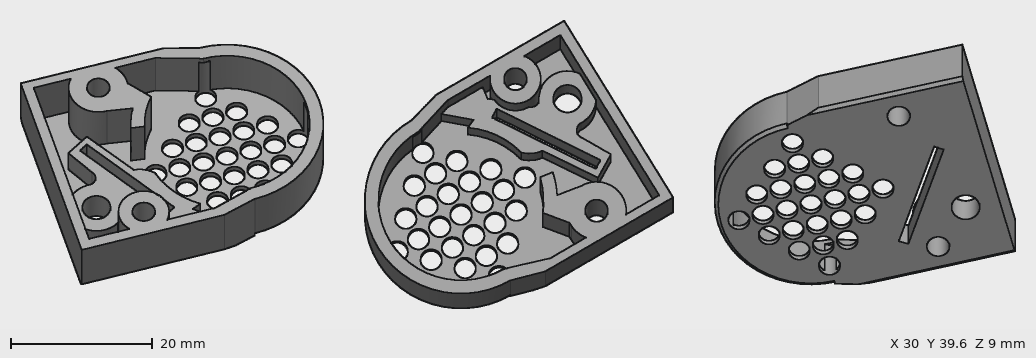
import cadquery as cq
import math

WIDTH = 30.0
LENGTH = 39.55
HEIGHT = 9.0
FLOOR = 1.0
CHAMFER = 0.5
OUTER_RADIUS = 13.6
INNER_RADIUS = 11.65
ARC_Y = LENGTH - OUTER_RADIUS
SHOULDER_Y = 21.05

CAVITY_LEFT = -13.72
CAVITY_RIGHT = 13.5
CAVITY_FRONT = 1.55
CAVITY_LEFT_SHOULDER = 19.45
CAVITY_RIGHT_SHOULDER = 20.1

VENT_DIAMETER = 3.0
VENT_PITCH = 3.5
VENT_STEPS = 3
VENT_TOP = 8.0

SCREW_DIAMETER = 3.2
SCREW_Y = 10.3
LEFT_SCREW_X = -11.1
RIGHT_SCREW_X = 11.23
LEFT_BOSS_RADIUS = 4.2
RIGHT_BOSS_RADIUS = 3.58

PLATFORM_TOP = 5.0
PLATFORM_HOLE_DIAMETER = 4.0
PLATFORM_HOLE_X = 5.9
PLATFORM_HOLE_Y = 4.9
PLATFORM_LOBE_RADIUS = 4.05
SLOT_LENGTH = 16.45
SLOT_WIDTH = 1.42
SLOT_X = 2.4
SLOT_Y = 10.48
SLOT_ANGLE = 32.1


def ring_point(radius, x):
    """Point at x on the flat-end side of a circle about the round end's centre."""
    return x, ARC_Y - math.sqrt(radius**2 - x**2)


def cylinder(x, y, radius, bottom, top):
    return cq.Workplane("XY", origin=(x, y, bottom)).circle(radius).extrude(top - bottom)


def make_shell():
    half = WIDTH / 2
    return (
        cq.Workplane("XY")
        .moveTo(-half, 0)
        .lineTo(half, 0)
        .lineTo(half, SHOULDER_Y)
        .lineTo(OUTER_RADIUS, ARC_Y)
        .threePointArc((0, LENGTH), (-OUTER_RADIUS, ARC_Y))
        .lineTo(-half, SHOULDER_Y)
        .close()
        .extrude(HEIGHT)
    )


def chamfer_underside(shell):
    """Bevel the lower edges of the two long sides and of the round end."""
    half = WIDTH / 2
    straight = (
        cq.Workplane("XZ")
        .polyline([
            (-half + CHAMFER, 0),
            (half - CHAMFER, 0),
            (half, CHAMFER),
            (half, HEIGHT),
            (-half, HEIGHT),
            (-half, CHAMFER),
        ])
        .close()
        .extrude(-LENGTH)
    )
    rounded = cylinder(0, ARC_Y, OUTER_RADIUS, 0, HEIGHT).faces("<Z").chamfer(CHAMFER)
    body = cq.Workplane("XY").box(WIDTH, ARC_Y, HEIGHT, centered=(True, False, False))
    return shell.intersect(straight).intersect(body.union(rounded))


def make_cavity():
    return (
        cq.Workplane("XY", origin=(0, 0, FLOOR))
        .moveTo(CAVITY_LEFT, CAVITY_FRONT)
        .lineTo(CAVITY_RIGHT, CAVITY_FRONT)
        .lineTo(CAVITY_RIGHT, CAVITY_RIGHT_SHOULDER)
        .lineTo(INNER_RADIUS, ARC_Y)
        .threePointArc((0, ARC_Y + INNER_RADIUS), (-INNER_RADIUS, ARC_Y))
        .lineTo(CAVITY_LEFT, CAVITY_LEFT_SHOULDER)
        .close()
        .extrude(HEIGHT - FLOOR)
    )


def make_vents():
    """The outermost vents also notch the wall, up to just below the rim."""
    steps = range(-VENT_STEPS, VENT_STEPS + 1)
    centers = [
        (column * VENT_PITCH, ARC_Y + row * VENT_PITCH)
        for column in steps
        for row in steps
        if abs(column) + abs(row) <= VENT_STEPS
    ]
    return cq.Workplane("XY").pushPoints(centers).circle(VENT_DIAMETER / 2).extrude(VENT_TOP)


def make_left_boss():
    """Full-height screw boss with a hooked arm that follows the round end's circle."""
    arm = (
        cq.Workplane("XY")
        .moveTo(LEFT_SCREW_X, SCREW_Y)
        .lineTo(LEFT_SCREW_X, SCREW_Y + LEFT_BOSS_RADIUS)
        .lineTo(-10.68, SCREW_Y + LEFT_BOSS_RADIUS)
        .lineTo(*ring_point(INNER_RADIUS, -7.47))
        .threePointArc(ring_point(INNER_RADIUS, -5.2), ring_point(INNER_RADIUS, -2.85))
        .lineTo(*ring_point(OUTER_RADIUS, -3.12))
        .threePointArc(ring_point(OUTER_RADIUS, -4.75), ring_point(OUTER_RADIUS, -6.33))
        .lineTo(LEFT_SCREW_X + LEFT_BOSS_RADIUS, SCREW_Y)
        .close()
        .extrude(HEIGHT)
    )
    return arm.union(cylinder(LEFT_SCREW_X, SCREW_Y, LEFT_BOSS_RADIUS, 0, HEIGHT))


def make_platform():
    lobe_left = PLATFORM_HOLE_X - PLATFORM_LOBE_RADIUS
    plate = (
        cq.Workplane("XY")
        .moveTo(WIDTH / 2, 23.5)
        .lineTo(10.05, 17.87)
        .lineTo(*ring_point(INNER_RADIUS, 9.5))
        .threePointArc(ring_point(INNER_RADIUS, 6.33), ring_point(INNER_RADIUS, 2.55))
        .threePointArc((1.7, 13.5), (1.2, 11.82))
        .lineTo(-6.2, 7.1)
        .lineTo(-4.25, 3.8)
        .lineTo(-0.15, 6.0)
        .threePointArc((1.25, 6.13), (lobe_left, PLATFORM_HOLE_Y))
        .lineTo(PLATFORM_HOLE_X, PLATFORM_HOLE_Y)
        .lineTo(9.35, 7.08)
        .lineTo(7.5, 8.7)
        .threePointArc((7.3, 9.5), (7.65, 10.2))
        .lineTo(RIGHT_SCREW_X, SCREW_Y)
        .lineTo(11.05, 13.85)
        .lineTo(11.65, 14.6)
        .lineTo(CAVITY_RIGHT, 14.3)
        .lineTo(WIDTH / 2, 14.3)
        .close()
        .extrude(PLATFORM_TOP)
    )
    lobe = cylinder(PLATFORM_HOLE_X, PLATFORM_HOLE_Y, PLATFORM_LOBE_RADIUS, 0, PLATFORM_TOP)
    return plate.union(lobe)


def make_through_cuts():
    slot = (
        cq.Workplane("XY")
        .center(SLOT_X, SLOT_Y)
        .transformed(rotate=(0, 0, SLOT_ANGLE))
        .rect(SLOT_LENGTH, SLOT_WIDTH)
        .extrude(HEIGHT)
    )
    cuts = slot.union(cylinder(PLATFORM_HOLE_X, PLATFORM_HOLE_Y, PLATFORM_HOLE_DIAMETER / 2, 0, HEIGHT))
    for x in (LEFT_SCREW_X, RIGHT_SCREW_X):
        cuts = cuts.union(cylinder(x, SCREW_Y, SCREW_DIAMETER / 2, 0, HEIGHT))
    return cuts


shell = make_shell()
right_boss = cylinder(RIGHT_SCREW_X, SCREW_Y, RIGHT_BOSS_RADIUS, 0, HEIGHT)
fittings = make_left_boss().union(right_boss).union(make_platform()).intersect(shell)
tray = shell.cut(make_cavity()).cut(make_vents()).union(fittings)
result = chamfer_underside(tray).cut(make_through_cuts())